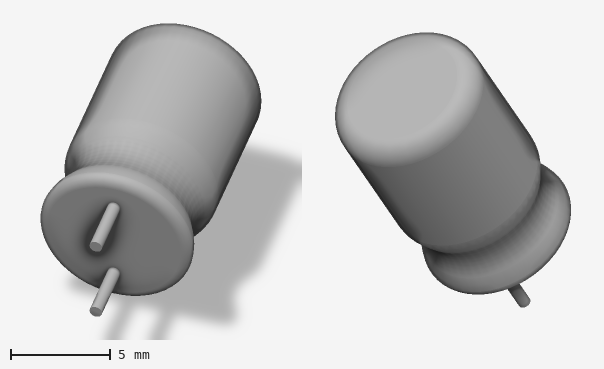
import cadquery as cq
import math

CAN_DIAMETER = 8.0
CAN_LENGTH = 12.5
TOP_ROUND = 1.0
BASE_ROUND = 0.5

NECK_CENTER = 2.49
NECK_ARC_RADIUS = 2.25
SHOULDER_ARC_RADIUS = 2.05
BLEND_ANGLE = math.radians(30)

LEAD_DIAMETER = 0.65
LEAD_PITCH = 4.5
LEAD_LENGTH = 3.0
LEAD_EMBED = 1.0

CAN_RADIUS = CAN_DIAMETER / 2


def arc_point(center, radius, angle):
    """Profile point (radial, axial) on an arc; the angle leans from radial towards +Y."""
    return (
        center[0] + radius * math.cos(angle),
        center[1] + radius * math.sin(angle),
    )


def add_arc(profile, center, radius, start_angle, end_angle):
    """Continue the profile along an arc from its start angle to its end angle."""
    middle = arc_point(center, radius, (start_angle + end_angle) / 2)
    end = arc_point(center, radius, end_angle)
    return profile.threePointArc(middle, end)


def lower_lip_arc(groove_start, base_center):
    """Center, radius and start angle of the arc tangent to the base round and the groove."""
    d_radial = groove_start[0] - base_center[0]
    d_axial = groove_start[1] - base_center[1]
    along_normal = d_radial * math.cos(BLEND_ANGLE) + d_axial * math.sin(BLEND_ANGLE)
    radius = (d_radial**2 + d_axial**2 - BASE_ROUND**2) / (2 * (along_normal - BASE_ROUND))
    center = arc_point(groove_start, -radius, BLEND_ANGLE)
    start_angle = math.atan2(base_center[1] - center[1], base_center[0] - center[0])
    return center, radius, start_angle


def make_can():
    half_turn = math.pi
    quarter_turn = math.pi / 2

    groove_half_width = NECK_ARC_RADIUS * math.sin(BLEND_ANGLE)
    shoulder_start = NECK_CENTER + groove_half_width
    shoulder_end = shoulder_start + SHOULDER_ARC_RADIUS * math.sin(BLEND_ANGLE)
    shoulder_center = (CAN_RADIUS - SHOULDER_ARC_RADIUS, shoulder_end)
    groove_edge_radius = arc_point(shoulder_center, SHOULDER_ARC_RADIUS, -BLEND_ANGLE)[0]
    groove_center = (groove_edge_radius + NECK_ARC_RADIUS * math.cos(BLEND_ANGLE), NECK_CENTER)

    groove_start = (groove_edge_radius, NECK_CENTER - groove_half_width)
    base_center = (CAN_RADIUS - BASE_ROUND, BASE_ROUND)
    lip_center, lip_radius, lip_angle = lower_lip_arc(groove_start, base_center)
    top_center = (CAN_RADIUS - TOP_ROUND, CAN_LENGTH - TOP_ROUND)

    profile = cq.Workplane("XY").moveTo(0, 0).lineTo(CAN_RADIUS - BASE_ROUND, 0)
    profile = add_arc(profile, base_center, BASE_ROUND, -quarter_turn, lip_angle)
    profile = add_arc(profile, lip_center, lip_radius, lip_angle, BLEND_ANGLE)
    profile = add_arc(
        profile, groove_center, NECK_ARC_RADIUS, half_turn + BLEND_ANGLE, half_turn - BLEND_ANGLE
    )
    profile = add_arc(profile, shoulder_center, SHOULDER_ARC_RADIUS, -BLEND_ANGLE, 0)
    profile = profile.lineTo(CAN_RADIUS, CAN_LENGTH - TOP_ROUND)
    profile = add_arc(profile, top_center, TOP_ROUND, 0, quarter_turn)
    profile = profile.lineTo(0, CAN_LENGTH).close()
    return profile.revolve(360, (0, 0, 0), (0, 1, 0))


def make_lead(height):
    """Wire at the given Z, running from inside the can to the free tip."""
    return (
        cq.Workplane("XZ", origin=(0, LEAD_EMBED, 0))
        .center(0, height)
        .circle(LEAD_DIAMETER / 2)
        .extrude(LEAD_EMBED + LEAD_LENGTH)
    )


result = make_can()
for side in (-1, 1):
    result = result.union(make_lead(side * LEAD_PITCH / 2))